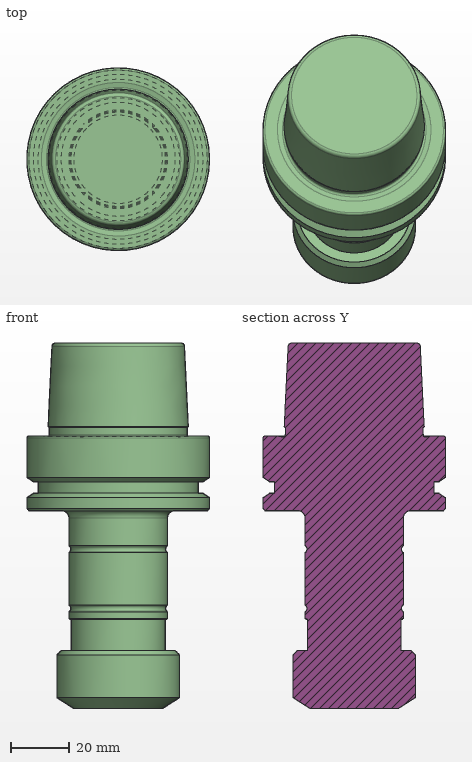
import cadquery as cq
import math

total_height = 125.9

head_radius = 21.2
head_top = 20.0
head_top_chamfer = 1.5
head_bottom_radius = 15.2
head_bevel_height = 3.8

neck_radius = 16.2
shank_radius = 17.0
shank_bottom = 30.7
shank_edge_chamfer = 0.4
shank_fillet = 2.5

ring_heights = [34.5, 54.9]
ring_width = 2.4
ring_edge_chamfer = 0.4
ring_bottom_drop = 0.3

flange_radius = 31.5
flange_bottom = 68.1
flange_top = 93.9
flange_bottom_chamfer = 0.8
flange_top_round = 0.8
groove_radius = 27.6
groove_bottom = 74.2
groove_top = 78.0
groove_bevel_width = 2.3
groove_bevel_height = 1.5

relief_radius = 26.5
relief_depth = 0.5
relief_fillet = 0.8

taper_neck_radius = 23.8
taper_bottom_radius = 24.2
taper_bottom = 97.1
taper_edge_chamfer = taper_bottom_radius - taper_neck_radius
taper_top_radius = 22.8
taper_top_fillet = 1.3


def arc_inset(radius):
    """Distance from each tangent side to the middle of a quarter-circle arc."""
    return radius * (1 - math.sqrt(0.5))


def add_ring(profile, height):
    """Continue the shank outline upwards across one round-bottomed ring."""
    lower_edge = height - ring_width / 2
    upper_edge = height + ring_width / 2
    shoulder_radius = shank_radius - ring_edge_chamfer
    return (
        profile.lineTo(shank_radius, lower_edge)
        .lineTo(shoulder_radius, lower_edge + ring_edge_chamfer)
        .threePointArc(
            (shoulder_radius - ring_bottom_drop, height),
            (shoulder_radius, upper_edge - ring_edge_chamfer),
        )
        .lineTo(shank_radius, upper_edge)
    )


def add_head(profile):
    """Draw the bevelled head up to the neck."""
    return (
        profile.lineTo(head_bottom_radius, 0)
        .lineTo(head_radius, head_bevel_height)
        .lineTo(head_radius, head_top - head_top_chamfer)
        .lineTo(head_radius - head_top_chamfer, head_top)
        .lineTo(neck_radius, head_top)
    )


def add_shank(profile):
    """Draw the neck, the ringed shank and the fillet under the flange."""
    profile = (
        profile.lineTo(neck_radius, shank_bottom)
        .lineTo(shank_radius - shank_edge_chamfer, shank_bottom)
        .lineTo(shank_radius, shank_bottom + shank_edge_chamfer)
    )
    for height in ring_heights:
        profile = add_ring(profile, height)
    fillet_inset = arc_inset(shank_fillet)
    return profile.lineTo(shank_radius, flange_bottom - shank_fillet).threePointArc(
        (shank_radius + fillet_inset, flange_bottom - fillet_inset),
        (shank_radius + shank_fillet, flange_bottom),
    )


def add_flange(profile):
    """Draw the flange, its gripper groove and the relief in its top face."""
    round_inset = arc_inset(flange_top_round)
    lip_radius = flange_radius - groove_bevel_width
    return (
        profile.lineTo(flange_radius - flange_bottom_chamfer, flange_bottom)
        .lineTo(flange_radius, flange_bottom + flange_bottom_chamfer)
        .lineTo(flange_radius, groove_bottom - groove_bevel_height)
        .lineTo(lip_radius, groove_bottom)
        .lineTo(groove_radius, groove_bottom)
        .lineTo(groove_radius, groove_top)
        .lineTo(lip_radius, groove_top)
        .lineTo(flange_radius, groove_top + groove_bevel_height)
        .lineTo(flange_radius, flange_top - flange_top_round)
        .threePointArc(
            (flange_radius - round_inset, flange_top - round_inset),
            (flange_radius - flange_top_round, flange_top),
        )
        .lineTo(relief_radius, flange_top)
        .lineTo(taper_neck_radius, flange_top - relief_depth)
    )


def add_taper(profile):
    """Draw the taper from its neck up to the sharp-edged top face."""
    return (
        profile.lineTo(taper_neck_radius, taper_bottom - taper_edge_chamfer)
        .lineTo(taper_bottom_radius, taper_bottom)
        .lineTo(taper_top_radius, total_height)
        .lineTo(0, total_height)
    )


outline = cq.Workplane("XZ").moveTo(0, 0)
for add_section in (add_head, add_shank, add_flange, add_taper):
    outline = add_section(outline)

holder = outline.close().revolve(360, (0, 0, 0), (0, 1, 0))
holder = holder.faces(">Z").edges().fillet(taper_top_fillet)

selection_margin = 0.1
relief_corner = cq.selectors.BoxSelector(
    (-flange_radius, -flange_radius, flange_top - relief_depth - selection_margin),
    (flange_radius, flange_radius, flange_top - relief_depth + selection_margin),
)
result = holder.edges("%CIRCLE").edges(relief_corner).fillet(relief_fillet)